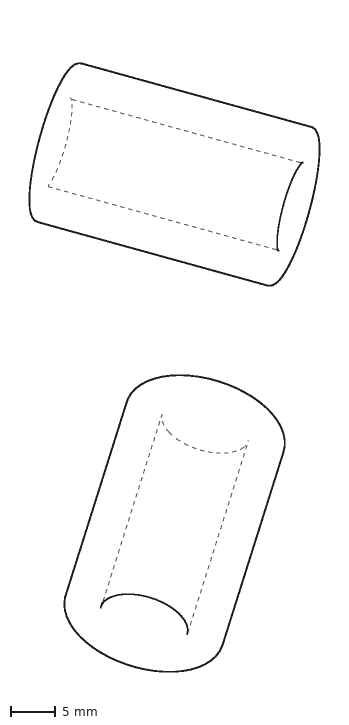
import cadquery as cq

length = 28.5
outer_diameter = 18.6
bore_diameter = 10.2
edge_radius = 0.5

sleeve = (
    cq.Workplane("YZ")
    .circle(outer_diameter / 2)
    .circle(bore_diameter / 2)
    .extrude(length)
)

result = sleeve.faces("<X or >X").edges().fillet(edge_radius)